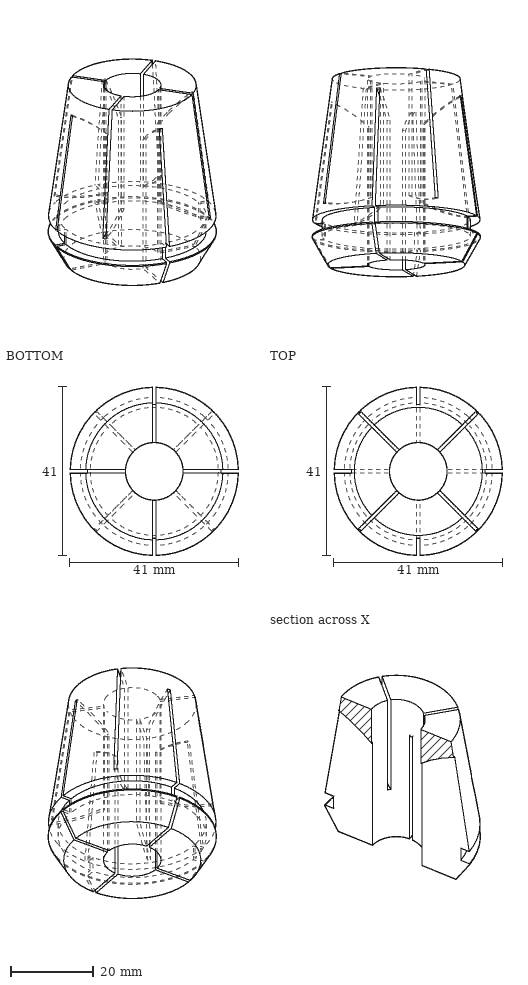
import cadquery as cq
import math

height = 46.0
flange_radius = 41.0 / 2
bottom_radius = 16.7
bevel_top = 6.75
groove_bottom = 7.1
groove_top = 11.15
groove_radius = 18.05
cone_base_radius = 20.42
top_radius = 15.6
bore_radius = 7.0

slot_width = 0.85
saw_radius = 36.8
slots_per_end = 4
slot_step = 360.0 / slots_per_end
lower_slot_outer_z = 41.0
lower_slot_bore_z = 34.45
upper_slot_outer_z = 13.5
upper_slot_bore_z = 16.0
slot_reach = flange_radius + 0.45
overcut = 0.45


def cone_radius(z):
    """Radius of the long taper at height z."""
    fraction = (z - groove_top) / (height - groove_top)
    return cone_base_radius + fraction * (top_radius - cone_base_radius)


def make_body():
    profile = [
        (bore_radius, 0),
        (bottom_radius, 0),
        (flange_radius, bevel_top),
        (flange_radius, groove_bottom),
        (groove_radius, groove_bottom),
        (groove_radius, groove_top),
        (cone_base_radius, groove_top),
        (top_radius, height),
        (bore_radius, height),
    ]
    outline = cq.Workplane("XZ").polyline(profile).close()
    return outline.revolve(360, (0, 0, 0), (0, 1, 0))


def make_slot(open_z, outer_z, bore_z):
    """Radial slot along +X, from open_z to an arc between the taper and the bore."""
    outer_r = cone_radius(outer_z)
    run = outer_r - bore_radius
    rise = outer_z - bore_z
    chord = math.hypot(run, rise)
    sagitta = saw_radius - math.sqrt(saw_radius**2 - (chord / 2) ** 2)
    bulge = math.copysign(sagitta, outer_z - open_z)
    arc_middle = (
        (outer_r + bore_radius) / 2 - abs(bulge * rise) / chord,
        (outer_z + bore_z) / 2 + bulge * run / chord,
    )
    return (
        cq.Workplane("XZ")
        .moveTo(0, open_z)
        .lineTo(slot_reach, open_z)
        .lineTo(slot_reach, outer_z)
        .lineTo(outer_r, outer_z)
        .threePointArc(arc_middle, (bore_radius, bore_z))
        .lineTo(0, bore_z)
        .close()
        .extrude(slot_width / 2, both=True)
    )


lower_slot = make_slot(-overcut, lower_slot_outer_z, lower_slot_bore_z)
upper_slot = make_slot(height + overcut, upper_slot_outer_z, upper_slot_bore_z)

result = make_body()
for index in range(slots_per_end):
    angle = index * slot_step
    result = result.cut(lower_slot.rotate((0, 0, 0), (0, 0, 1), angle))
    result = result.cut(upper_slot.rotate((0, 0, 0), (0, 0, 1), angle + slot_step / 2))